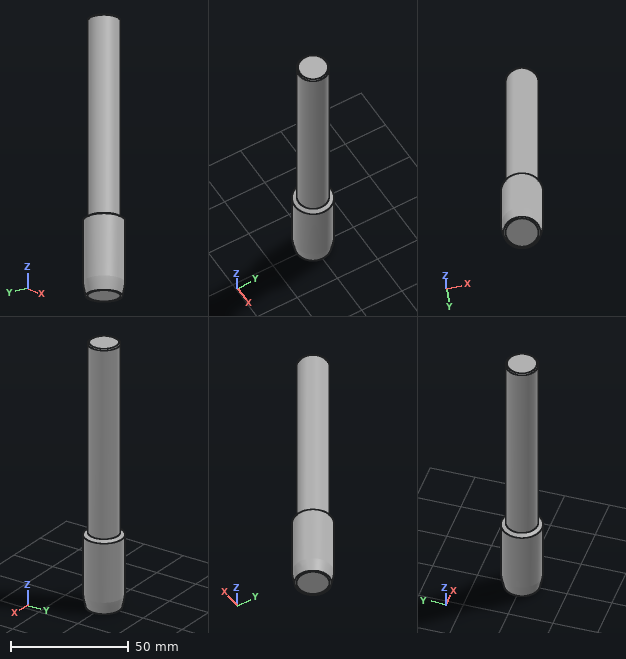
import cadquery as cq

total_length = 125.0
rod_radius = 7.0
rod_chamfer = 0.6

sleeve_radius = 9.0
sleeve_length = 35.1
shoulder_height = 1.1
nose_length = 6.0
nose_end_radius = 7.9
nose_bulge = 0.1


def make_rod():
    """Round rod running the full length, chamfered at its upper end."""
    rod = cq.Workplane("XY").circle(rod_radius).extrude(total_length)
    return rod.faces(">Z").chamfer(rod_chamfer)


def make_sleeve():
    """Sleeve around the lower end of the rod, with a conical shoulder and a rounded nose."""
    nose_middle_radius = (nose_end_radius + sleeve_radius) / 2 + nose_bulge
    return (
        cq.Workplane("XZ")
        .moveTo(rod_radius, 0)
        .lineTo(nose_end_radius, 0)
        .threePointArc((nose_middle_radius, nose_length / 2), (sleeve_radius, nose_length))
        .lineTo(sleeve_radius, sleeve_length - shoulder_height)
        .lineTo(rod_radius, sleeve_length)
        .close()
        .revolve(360, (0, 0, 0), (0, 1, 0))
    )


rod = make_rod()
sleeve = make_sleeve()

result = cq.Compound.makeCompound([rod.val(), sleeve.val()])